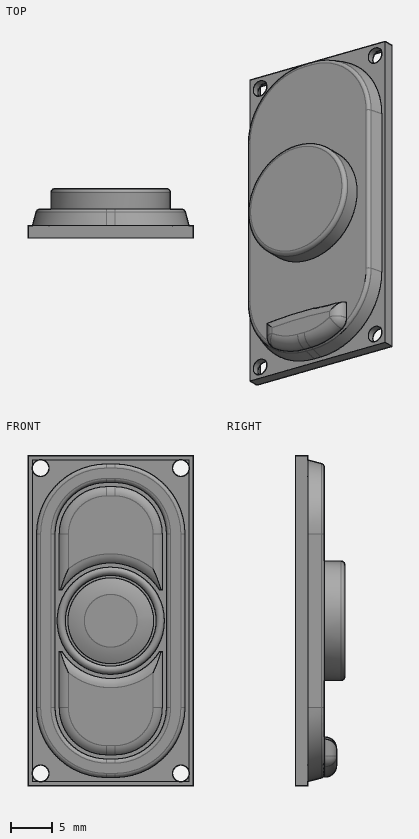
import cadquery as cq
import math


plate_width = 20.0
plate_length = 40.0
plate_thickness = 1.5
rim_width = 0.5
recess_depth = 0.5
hole_diameter = 2.0
hole_inset = 1.5

corner_center_x = 0.5
corner_center_z = 10.5

basket_half_width = 9.5
basket_back = 3.5
basket_draft = 15.0
basket_edge_radius = 0.5
magnet_diameter = 14.5
magnet_back = 6.0
magnet_edge_radius = 0.5

terminal_height = 1.5
terminal_edge_radius = 1.45
terminal_half_width = 5.7
terminal_top_corner_z = -14.35
terminal_top_crown_z = -14.05
terminal_corner_radius = 1.5

roll_outer_half_width = 9.0
roll_inner_half_width = 6.75

pad_half_width = 6.25
pad_ring_radius = 7.0
pad_end_z = 3.7
pad_edge_radius = 1.5

bead_center_radius = 6.0
bead_radius = 0.5
dome_radius = 5.2
dome_flat_radius = 3.2

buried_overlap = 0.1

pad_edge_angle = math.acos(1 - recess_depth / pad_edge_radius)
pad_edge_width = pad_edge_radius * math.sin(pad_edge_angle)
pad_edge_buried = pad_edge_radius - pad_edge_width


def plane_at(y):
    """Sketch plane facing +Y at the given depth; local x is -X and local y is +Z."""
    return cq.Workplane(cq.Plane(origin=(0, y, 0), xDir=(-1, 0, 0), normal=(0, 1, 0)))


def rounded_block(half_width, front, back, draft=0.0):
    """Rounded rectangular block whose corner arcs share the common centres."""
    corner_radius = half_width - corner_center_x
    half_length = corner_center_z + corner_radius
    outline = cq.Sketch().rect(2 * half_width, 2 * half_length).vertices().fillet(corner_radius)
    return plane_at(front).placeSketch(outline).extrude(back - front, taper=draft)


def revolve_about_y(profile):
    """Revolve a profile drawn in the XY plane about the Y axis."""
    return profile.close().revolve(360, (0, 0, 0), (0, 1, 0))


def make_frame():
    """Plate with front recess and mounting holes, basket and magnet."""
    plate = plane_at(0).rect(plate_width, plate_length).extrude(plate_thickness)
    basket = rounded_block(basket_half_width, plate_thickness, basket_back, basket_draft)
    basket = basket.faces(">Y").edges().fillet(basket_edge_radius)
    magnet = plane_at(basket_back).circle(magnet_diameter / 2).extrude(magnet_back - basket_back)
    magnet = magnet.faces(">Y").edges().fillet(magnet_edge_radius)
    recess = plane_at(0).rect(plate_width - 2 * rim_width, plate_length - 2 * rim_width).extrude(recess_depth)
    holes = (
        plane_at(0)
        .rect(plate_width - 2 * hole_inset, plate_length - 2 * hole_inset, forConstruction=True)
        .vertices()
        .circle(hole_diameter / 2)
        .extrude(plate_thickness)
    )
    return plate.union(basket).union(magnet).cut(recess).cut(holes)


def make_terminal():
    """Cover with rounded edges whose lower side follows the basket outline."""
    draft_inset = (basket_back - plate_thickness) * math.tan(math.radians(basket_draft))
    cover_back = basket_back + terminal_height
    basket_outline = rounded_block(basket_half_width - draft_inset, basket_back, cover_back)
    arched_block = (
        plane_at(basket_back)
        .moveTo(terminal_half_width, -plate_length / 2)
        .lineTo(terminal_half_width, terminal_top_corner_z)
        .threePointArc((0, terminal_top_crown_z), (-terminal_half_width, terminal_top_corner_z))
        .lineTo(-terminal_half_width, -plate_length / 2)
        .close()
        .extrude(terminal_height)
    )
    cover = basket_outline.intersect(arched_block)
    upright_edges = cover.edges("|Y")
    lower_corners = upright_edges.edges("<X or >X").edges("<Z")
    cover = lower_corners.fillet(terminal_corner_radius)
    return cover.faces(">Y").edges().fillet(terminal_edge_radius)


def make_surround_roll():
    """Loop with both front edges rounded down to the floor; its foot is buried in the frame."""
    foot = recess_depth + buried_overlap
    outer = rounded_block(roll_outer_half_width, 0, foot)
    inner = rounded_block(roll_inner_half_width, 0, foot)
    return outer.cut(inner).faces("<Y").edges().fillet(recess_depth)


def make_pad():
    """Upper pad; its rounded edges continue below the floor into the frame."""
    foot = pad_edge_radius + buried_overlap
    low_z = pad_end_z - pad_edge_buried
    block = rounded_block(pad_half_width + pad_edge_buried, 0, foot)
    above_low_end = plane_at(0).center(0, low_z + plate_length / 2)
    above_low_end = above_low_end.rect(plate_width, plate_length).extrude(foot)
    pad = block.intersect(above_low_end).faces("<Y").edges().fillet(pad_edge_radius)

    clearance_top_radius = pad_ring_radius + pad_edge_width
    clearance_foot_radius = clearance_top_radius - pad_edge_radius
    arc_mid_radius = clearance_top_radius - pad_edge_radius * math.sin(math.pi / 4)
    arc_mid_y = pad_edge_radius * (1 - math.cos(math.pi / 4))
    clearance = revolve_about_y(
        cq.Workplane("XY")
        .lineTo(clearance_top_radius, 0)
        .threePointArc((arc_mid_radius, arc_mid_y), (clearance_foot_radius, pad_edge_radius))
        .lineTo(clearance_foot_radius, foot)
        .lineTo(0, foot)
    )
    return pad.cut(clearance)


def make_bead():
    """Half-round ring standing on the recess floor."""
    return revolve_about_y(
        cq.Workplane("XY")
        .moveTo(bead_center_radius - bead_radius, recess_depth)
        .threePointArc(
            (bead_center_radius, recess_depth - bead_radius),
            (bead_center_radius + bead_radius, recess_depth),
        )
    )


def make_dome():
    """Flat-topped dome whose flank arc is tangent to the flat."""
    flank_width = dome_radius - dome_flat_radius
    flank_radius = (flank_width**2 + recess_depth**2) / (2 * recess_depth)
    half_angle = math.asin(flank_width / flank_radius) / 2
    flank_mid_radius = dome_flat_radius + flank_radius * math.sin(half_angle)
    flank_mid_y = flank_radius * (1 - math.cos(half_angle))
    return revolve_about_y(
        cq.Workplane("XY")
        .moveTo(0, recess_depth)
        .lineTo(dome_radius, recess_depth)
        .threePointArc((flank_mid_radius, flank_mid_y), (dome_flat_radius, 0))
        .lineTo(0, 0)
    )


upper_pad = make_pad()
lower_pad = upper_pad.mirror("XY")
raised_features = (
    make_terminal(),
    make_surround_roll(),
    upper_pad,
    lower_pad,
    make_bead(),
    make_dome(),
)
result = make_frame()
for feature in raised_features:
    result = result.union(feature)